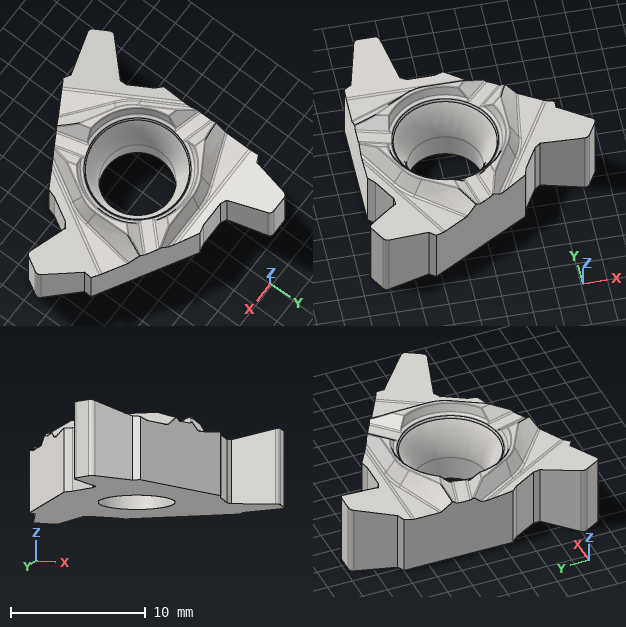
import cadquery as cq
import math

height = 5.85
inradius = 6.37
teeth = 3
tooth_step = 360 / teeth
side_angle = tooth_step / 2

tooth_centre_x = -3.95
tooth_tip_y = 10.2
tooth_root_y = 6.74
tooth_tip_width = 1.87
flank_angle = 15.0
tooth_tip_radius = 0.39

left_shoulder_y = 6.47
shoulder_y = 6.5
shoulder_start_x = -1.6
shoulder_end_x = 0.47
corner_x = 1.17

floor_z = 4.58
rake_angle = 15.0
rake_start_y = 5.69
rake_radius = 0.82

wall_base = (-1.36, 5.43)
wall_base_angle = 21.5
wall_base_radius = 5.25
wall_top = (-1.46, 4.71)
wall_top_angle = 31.0
wall_top_radius = 3.12
wall_fillet = 0.21
wall_left_x = -7.8
wall_right_x = 6.23
cutter_outer_y = 11.69

notch_direction = 45.0
notch_offset = 0.107
notch_floor_z = 5.03
notch_floor_width = 1.1
notch_wall_angle = 40.0
notch_fillet = 0.25
notch_length = 8.77

bore_radius = 5.7 / 2
bowl_bottom_z = 1.97
bowl_radius = 3.88
bowl_top_z = 4.83
lip_radius = 3.97
step_radius = 4.2
rim_radius = 4.5
step_fillet = 0.23

island_edge_radius = 0.08
notch_edge_points = [
    (3.15, 4.89, 5.51),
    (5.06, 3.5, 5.57),
    (2.08, 3.84, 5.51),
    (3.72, 2.28, 5.51),
]

overshoot = 0.39
select_margin = 0.2


def turned_point(x, y, index):
    """Plan position (x, y) carried round the part axis to sector `index`."""
    turn = math.radians(index * tooth_step)
    return (x * math.cos(turn) - y * math.sin(turn), x * math.sin(turn) + y * math.cos(turn))


def body():
    """Prism with the three-toothed outline."""
    tip_half = tooth_tip_width / 2
    tooth_height = tooth_tip_y - tooth_root_y
    root_half = tip_half + tooth_height * math.tan(math.radians(flank_angle))
    side = math.radians(side_angle)
    corner_y = (inradius - corner_x * math.cos(side)) / math.sin(side)
    one_tooth = [
        (-inradius, left_shoulder_y),
        (tooth_centre_x - root_half, tooth_root_y),
        (tooth_centre_x - tip_half, tooth_tip_y),
        (tooth_centre_x + tip_half, tooth_tip_y),
        (tooth_centre_x + root_half, tooth_root_y),
        (shoulder_start_x, shoulder_y),
        (shoulder_end_x, shoulder_y),
        (corner_x, corner_y),
    ]
    outline = []
    tip_edges = []
    for i in range(teeth):
        turned = [turned_point(x, y, -i) for x, y in one_tooth]
        outline += turned
        tip_edges += turned[2:4]
    prism = cq.Workplane("XY").polyline(outline).close().extrude(height)
    for x, y in tip_edges:
        corner = cq.selectors.NearestToPointSelector((x, y, height / 2))
        prism = prism.edges(corner).fillet(tooth_tip_radius)
    return prism


def bent_region(z, vertex, angle, radius):
    """Closed wire around the area outside a wall line that bends at `vertex`."""
    x, y = vertex
    slope = math.radians(angle)
    tangent = radius * math.tan(slope / 2)
    arc_start = (x - tangent * math.cos(slope), y - tangent * math.sin(slope))
    arc_middle = (
        x + tangent - radius * math.sin(slope / 2),
        y - radius * (1 - math.cos(slope / 2)),
    )
    return (
        cq.Workplane("XY", origin=(0, 0, z))
        .moveTo(wall_left_x, y - (x - wall_left_x) * math.tan(slope))
        .lineTo(*arc_start)
        .threePointArc(arc_middle, (x + tangent, y))
        .lineTo(wall_right_x, y)
        .lineTo(wall_right_x, cutter_outer_y)
        .lineTo(wall_left_x, cutter_outer_y)
        .close()
        .val()
    )


def tooth_support():
    """Material kept below the sloping tooth face, with a rounded start at the floor."""
    rake = math.radians(rake_angle)
    tangent = rake_radius * math.tan(rake / 2)
    arc_start_y = rake_start_y - tangent
    end_z = floor_z + (cutter_outer_y + overshoot - rake_start_y) * math.tan(rake)
    return (
        cq.Workplane("YZ", origin=(wall_left_x - overshoot, 0, 0))
        .moveTo(arc_start_y, floor_z - overshoot)
        .lineTo(arc_start_y, floor_z)
        .threePointArc(
            (
                arc_start_y + rake_radius * math.sin(rake / 2),
                floor_z + rake_radius * (1 - math.cos(rake / 2)),
            ),
            (rake_start_y + tangent * math.cos(rake), floor_z + tangent * math.sin(rake)),
        )
        .lineTo(cutter_outer_y + overshoot, end_z)
        .lineTo(cutter_outer_y + overshoot, floor_z - overshoot)
        .close()
        .extrude(wall_right_x - wall_left_x + 2 * overshoot)
    )


def chip_pocket():
    """Space between one tooth face and the island wall."""
    base = bent_region(floor_z, wall_base, wall_base_angle, wall_base_radius)
    top = bent_region(height, wall_top, wall_top_angle, wall_top_radius)
    pocket = cq.Workplane(cq.Solid.makeLoft([base, top], True))
    near_wall = cq.selectors.BoxSelector(
        (wall_left_x + select_margin, 0, floor_z - select_margin),
        (wall_right_x - select_margin, wall_base[1] + select_margin, floor_z + select_margin),
    )
    pocket = pocket.edges(near_wall).fillet(wall_fillet)
    return pocket.cut(tooth_support())


def notch():
    """Straight notch with sloping walls running outward from the hole."""
    rise = height + overshoot - notch_floor_z
    floor_half = notch_floor_width / 2
    top_half = floor_half + rise / math.tan(math.radians(notch_wall_angle))
    channel = (
        cq.Workplane("YZ")
        .polyline([(-floor_half, 0), (floor_half, 0), (top_half, rise), (-top_half, rise)])
        .close()
        .extrude(notch_length)
        .edges("|X and <Z")
        .fillet(notch_fillet)
    )
    return channel.translate((0, notch_offset, notch_floor_z)).rotate(
        (0, 0, 0), (0, 0, 1), notch_direction
    )


def screw_hole():
    """Bore that widens through a curved bowl into a stepped, conical mouth."""
    bowl_run = bowl_radius - bore_radius
    bowl_rise = bowl_top_z - bowl_bottom_z
    curve = (bowl_run**2 + bowl_rise**2) / (2 * bowl_run)
    half_sweep = math.asin(bowl_rise / curve) / 2
    bowl_middle = (
        bore_radius + curve * (1 - math.cos(half_sweep)),
        bowl_bottom_z + curve * math.sin(half_sweep),
    )
    quarter_middle = math.radians(45)
    lip_middle = (
        lip_radius - (lip_radius - bowl_radius) * math.sin(quarter_middle),
        notch_floor_z - (notch_floor_z - bowl_top_z) * (1 - math.cos(quarter_middle)),
    )
    wall_slope = math.atan2(height - notch_floor_z, rim_radius - step_radius)
    tangent = step_fillet * math.tan(wall_slope / 2)
    step_middle = (
        step_radius - tangent + step_fillet * math.sin(wall_slope / 2),
        notch_floor_z + step_fillet * (1 - math.cos(wall_slope / 2)),
    )
    step_end = (
        step_radius + tangent * math.cos(wall_slope),
        notch_floor_z + tangent * math.sin(wall_slope),
    )
    profile = (
        cq.Workplane("XZ")
        .moveTo(0, -overshoot)
        .lineTo(bore_radius, -overshoot)
        .lineTo(bore_radius, bowl_bottom_z)
        .threePointArc(bowl_middle, (bowl_radius, bowl_top_z))
        .threePointArc(lip_middle, (lip_radius, notch_floor_z))
        .lineTo(step_radius - tangent, notch_floor_z)
        .threePointArc(step_middle, step_end)
        .lineTo(rim_radius, height)
        .lineTo(0, height)
        .close()
    )
    return profile.revolve(360, (0, 0, 0), (0, 1, 0))


def round_island_edges(part):
    """Soften the rim of the island top and the sloping edges of the notches."""
    edges = part.faces(">Z").edges().vals()
    for i in range(teeth):
        for x, y, z in notch_edge_points:
            point = (*turned_point(x, y, i), z)
            edges.append(part.edges(cq.selectors.NearestToPointSelector(point)).val())
    return part.newObject(edges).fillet(island_edge_radius)


result = body()
for cutter in (chip_pocket(), notch()):
    for i in range(teeth):
        result = result.cut(cutter.rotate((0, 0, 0), (0, 0, 1), i * tooth_step))
result = result.cut(screw_hole())
result = round_island_edges(result)